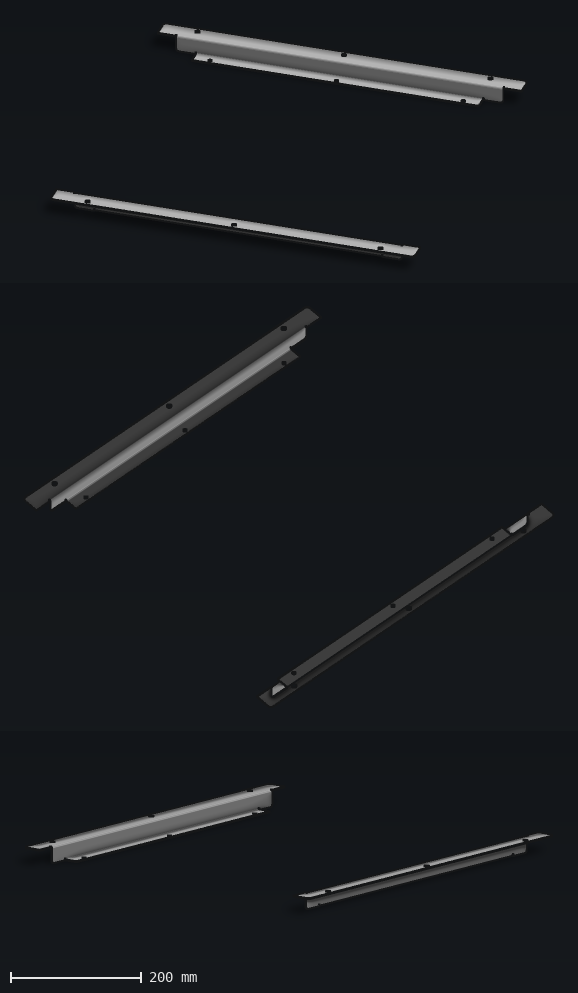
import cadquery as cq

overall_length = 584.2
overall_depth = 567.69

thickness = 1.9
inner_bend_radius = 1.5
outer_bend_radius = inner_bend_radius + thickness
bracket_height = 27.3
bracket_depth = 52.95

upper_flange_width = 31.75
upper_corner_radius = 6.35
tab_setback = 0.4

web_length = 525.0
web_corner_radius = 5.0
web_edge_height = 0.2

lower_flange_length = 460.4

relief_width = 1.2

upper_hole_diameter = 7.14
upper_hole_spacing = 234.95
upper_hole_edge_distance = 9.525
lower_hole_diameter = 5.54
lower_hole_spacing = 203.2
lower_hole_edge_distance = 7.14

outer_edge = -overall_depth / 2
web_inner_face = outer_edge + upper_flange_width
web_outer_face = web_inner_face - thickness
inner_edge = outer_edge + bracket_depth
upper_bend_start = web_inner_face - outer_bend_radius
lower_bend_end = web_outer_face + outer_bend_radius
tab_edge = web_inner_face - tab_setback

upper_flange_bottom = bracket_height - thickness
upper_bend_bottom = bracket_height - outer_bend_radius
lower_bend_top = outer_bend_radius


def block(length, y_start, y_end, z_start, z_end):
    """A block centred on X = 0."""
    return (
        cq.Workplane("XY")
        .box(length, y_end - y_start, z_end - z_start, centered=(True, False, False))
        .translate((0, y_start, z_start))
    )


def make_upper_flange():
    """Flat plate with rounded corners, cut back to the bend over the web and its reliefs."""
    plate = block(overall_length, outer_edge, tab_edge, upper_flange_bottom, bracket_height)
    plate = plate.edges("|Z and <Y").fillet(upper_corner_radius)
    bend_clearance = block(
        web_length + 2 * relief_width, upper_bend_start, tab_edge, upper_flange_bottom, bracket_height
    )
    return plate.cut(bend_clearance)


def make_web():
    """Upright plate with rounded lower corners, cut back to the bend over the lower flange."""
    plate = block(web_length, web_outer_face, web_inner_face, web_edge_height, upper_bend_bottom)
    plate = plate.edges("|Y and <Z").fillet(web_corner_radius)
    bend_clearance = block(
        lower_flange_length + 2 * relief_width, web_outer_face, web_inner_face, 0, lower_bend_top
    )
    return plate.cut(bend_clearance)


def make_lower_flange():
    return block(lower_flange_length, lower_bend_end, inner_edge, 0, thickness)


def make_bend(length, axis_y, axis_z, side_y, side_z):
    """Quarter bend; side_y and side_z give the direction from its axis to the outside of the bend."""
    sector = block(
        length,
        *sorted((axis_y, axis_y + side_y * outer_bend_radius)),
        *sorted((axis_z, axis_z + side_z * outer_bend_radius)),
    )
    tube = (
        cq.Workplane("YZ", origin=(-length / 2, 0, 0))
        .center(axis_y, axis_z)
        .circle(outer_bend_radius)
        .circle(inner_bend_radius)
        .extrude(length)
    )
    return tube.intersect(sector)


def make_holes(diameter, spacing, y_position):
    """Cutters for a row of three holes through the full height."""
    centres = [(step * spacing, y_position) for step in (-1, 0, 1)]
    return cq.Workplane("XY").pushPoints(centres).circle(diameter / 2).extrude(bracket_height)


def make_bracket():
    """The front bracket, a Z-section bent from one sheet."""
    upper_bend = make_bend(web_length, upper_bend_start, upper_bend_bottom, 1, 1)
    lower_bend = make_bend(lower_flange_length, lower_bend_end, lower_bend_top, -1, -1)
    sheet = (
        make_upper_flange()
        .union(upper_bend)
        .union(make_web())
        .union(lower_bend)
        .union(make_lower_flange())
    )
    upper_holes = make_holes(
        upper_hole_diameter, upper_hole_spacing, outer_edge + upper_hole_edge_distance
    )
    lower_holes = make_holes(
        lower_hole_diameter, lower_hole_spacing, inner_edge - lower_hole_edge_distance
    )
    return sheet.cut(upper_holes).cut(lower_holes)


front_bracket = make_bracket()
back_bracket = front_bracket.mirror("XZ")

result = cq.Compound.makeCompound([front_bracket.val(), back_bracket.val()])